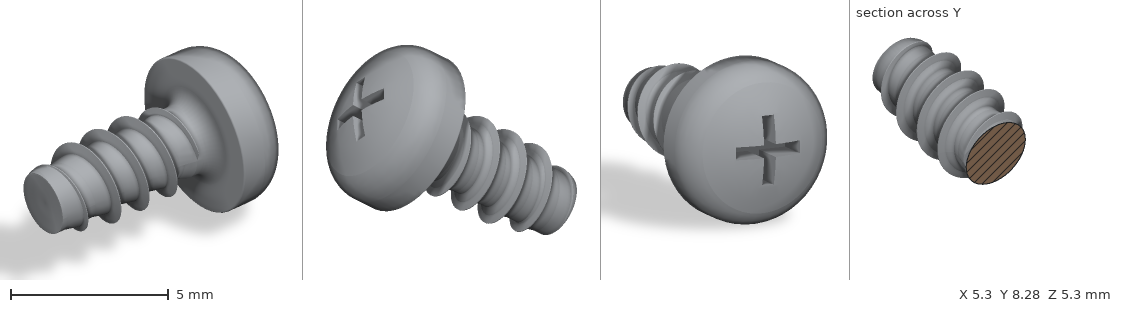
import cadquery as cq
import math


full_circle = 360

head_radius = 2.65
head_rim_height = 0.825
head_shoulder_radius = 1.08
head_apex_height = 2.29
dome_edge_radius = 2.13
rim_edge_fillet = 0.05

recess_slot_width = 0.42
recess_span = 2.28
recess_depth = 1.2

shank_length = 6.0
neck_radius = 1.165
neck_fillet = 0.5
neck_length = 0.75
neck_taper_length = 0.41
core_radius = 1.035
tip_radius = 1.04
tip_slope = 0.4
tip_dimple_radius = 0.985
tip_dimple_depth = 0.08

pitch = 1.12
crest_radius = 1.5
crest_width = 0.03
upper_flank_break_radius = 1.25
upper_flank_break_height = 0.085
upper_flank_root_height = 0.268
lower_flank_root_radius = 1.13
lower_flank_root_height = -0.12
core_taper_end_height = -0.65
buried_radius = 0.8
root_overlap = 0.015
limit_clearance = 0.15

crest_top_height = -0.69
run_in_turns = 1
full_turns = 2.25
run_out_turns = 2
core_taper_turns = 5
run_in_slope = 0.185
run_out_slope = 0.275


def make_head():
    """Rim, rounded shoulder and domed top, turned about the vertical axis."""
    shoulder_centre_radius = head_radius - head_shoulder_radius
    shoulder_angle = math.acos((dome_edge_radius - shoulder_centre_radius) / head_shoulder_radius)
    dome_edge_height = head_rim_height + head_shoulder_radius * math.sin(shoulder_angle)
    shoulder_middle = (
        shoulder_centre_radius + head_shoulder_radius * math.cos(shoulder_angle / 2),
        head_rim_height + head_shoulder_radius * math.sin(shoulder_angle / 2),
    )

    dome_rise = head_apex_height - dome_edge_height
    dome_radius = (dome_edge_radius**2 + dome_rise**2) / (2 * dome_rise)
    dome_middle_radius = dome_edge_radius / 2
    dome_middle_height = (
        head_apex_height - dome_radius + math.sqrt(dome_radius**2 - dome_middle_radius**2)
    )

    head = (
        cq.Workplane("XZ")
        .lineTo(head_radius, 0)
        .lineTo(head_radius, head_rim_height)
        .threePointArc(shoulder_middle, (dome_edge_radius, dome_edge_height))
        .threePointArc((dome_middle_radius, dome_middle_height), (0, head_apex_height))
        .close()
        .revolve(full_circle, (0, 0, 0), (0, 1, 0))
    )
    return head.faces("<Z").edges().fillet(rim_edge_fillet)


def make_recess():
    """Cross-shaped tool for the drive recess."""
    slot = (
        cq.Workplane("XY")
        .workplane(offset=head_apex_height - recess_depth)
        .rect(recess_span, recess_slot_width)
        .extrude(recess_depth)
    )
    return slot.union(slot.rotate((0, 0, 0), (0, 0, 1), 90))


def make_neck():
    """Neck filleted into the head, stepping down to the core through a short cone."""
    fillet_outer_radius = neck_radius + neck_fillet
    fillet_leg = neck_fillet * (1 - math.sqrt(0.5))
    fillet_middle = (neck_radius + fillet_leg, -fillet_leg)
    return (
        cq.Workplane("XZ")
        .lineTo(fillet_outer_radius, 0)
        .threePointArc(fillet_middle, (neck_radius, -neck_fillet))
        .lineTo(neck_radius, -neck_length)
        .lineTo(core_radius, -neck_length - neck_taper_length)
        .lineTo(0, -neck_length - neck_taper_length)
        .close()
        .revolve(full_circle, (0, 0, 0), (0, 1, 0))
    )


def make_shank_limit():
    """Cylinder tapering to a dimpled tip that bounds the threaded length."""
    limit_radius = crest_radius + limit_clearance
    tip_taper_length = (limit_radius - tip_radius) / tip_slope
    return (
        cq.Workplane("XZ")
        .moveTo(0, -neck_length)
        .lineTo(limit_radius, -neck_length)
        .lineTo(limit_radius, -shank_length + tip_taper_length)
        .lineTo(tip_radius, -shank_length)
        .lineTo(tip_dimple_radius, -shank_length)
        .lineTo(0, -shank_length + tip_dimple_depth)
        .close()
        .revolve(full_circle, (0, 0, 0), (0, 1, 0))
    )


def sweep_section(section, turns_down, turns, slope=0.0):
    """Sweep a section up a right-hand helix that starts turns_down below the top of the thread.

    The section holds (radius, height) points at the start of the helix.
    The slope is the gain in helix radius per unit of height.
    """
    bottom = crest_top_height - turns_down * pitch
    lead = pitch * math.hypot(1, slope)
    cone_angle = math.degrees(math.atan(slope)) if slope else full_circle
    helix = cq.Wire.makeHelix(
        lead, turns * lead, crest_radius, cq.Vector(0, 0, 0), cq.Vector(0, 0, 1), cone_angle
    )
    screw_axis = cq.Workplane("XZ").lineTo(0, turns * pitch)
    ridge = (
        cq.Workplane("XZ")
        .polyline(section)
        .close()
        .sweep(cq.Workplane(obj=helix), auxSpine=screw_axis)
    )
    return ridge.rotate((0, 0, 0), (0, 0, 1), -full_circle * turns_down).translate((0, 0, bottom))


def ridge_section(inset=0.0):
    """Thread ridge with a broken upper flank, moved toward the axis by the inset."""
    lower_flank_slope = (lower_flank_root_height + crest_width / 2) / (crest_radius - lower_flank_root_radius)
    lower_buried_height = -crest_width / 2 + lower_flank_slope * (crest_radius - buried_radius)
    points = [
        (buried_radius, upper_flank_root_height),
        (core_radius - root_overlap, upper_flank_root_height),
        (upper_flank_break_radius, upper_flank_break_height),
        (crest_radius, crest_width / 2),
        (crest_radius, -crest_width / 2),
        (buried_radius, lower_buried_height),
    ]
    return [(radius - inset, height) for radius, height in points]


def core_taper_section():
    """Wedge on the core that thins from below the ridge toward the tip."""
    taper_slope = (lower_flank_root_radius - core_radius) / (lower_flank_root_height - core_taper_end_height)
    top_height = lower_flank_root_height / 2
    bottom_radius = core_radius - root_overlap
    bottom_height = core_taper_end_height - root_overlap / taper_slope
    return [
        (buried_radius, top_height),
        (core_radius + taper_slope * (top_height - core_taper_end_height), top_height),
        (bottom_radius, bottom_height),
        (buried_radius, bottom_height),
    ]


def make_threaded_shank():
    """Core bar with its tapers and the thread, cut to the threaded length."""
    run_in_bottom = run_in_turns
    full_bottom = run_in_bottom + full_turns
    run_out_bottom = full_bottom + run_out_turns
    run_out_inset = run_out_slope * run_out_turns * pitch

    run_in = sweep_section(ridge_section(), run_in_bottom, run_in_turns, -run_in_slope)
    full_thread = sweep_section(ridge_section(), full_bottom, full_turns)
    run_out = sweep_section(ridge_section(run_out_inset), run_out_bottom, run_out_turns, run_out_slope)
    core_tapers = sweep_section(core_taper_section(), core_taper_turns, core_taper_turns)

    bar = cq.Workplane("XY").circle(core_radius).extrude(-shank_length - 2 * pitch)
    shank = bar.union(core_tapers)
    for ridge in (full_thread, run_in, run_out):
        shank = shank.union(ridge)
    return shank.intersect(make_shank_limit())


head = make_head().cut(make_recess())
upright_screw = head.union(make_neck()).union(make_threaded_shank())
result = upright_screw.rotate((0, 0, 0), (1, 0, 0), -90)